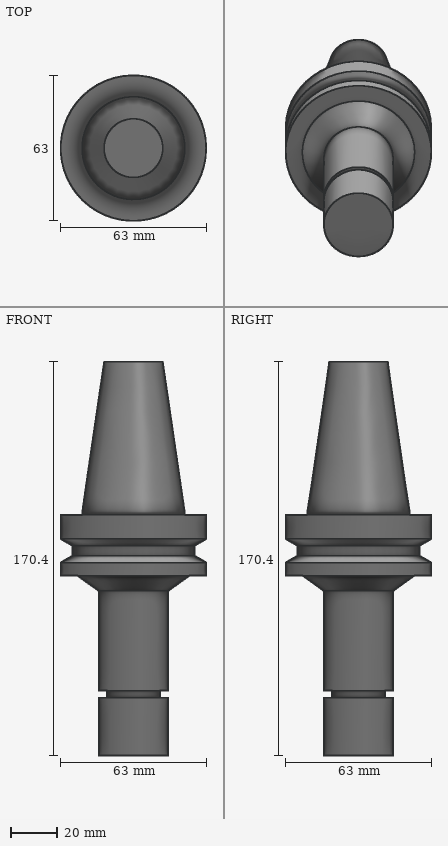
import cadquery as cq

flange_diameter = 63.0
gauge_diameter = 44.5
taper_tip_diameter = 25.4
groove_diameter = 53.0
cone_diameter = 48.5
shank_diameter = 30.0
neck_diameter = 23.0

total_length = 170.4
nut_length = 25.0
neck_length = 3.0
shank_length = 43.1
cone_length = 6.6
lower_rim_length = 5.6
lower_groove_wall = 2.9
groove_floor_length = 4.5
upper_groove_wall = 2.9
upper_rim_length = 10.4
gauge_collar_length = 1.0


shank_bottom = nut_length + neck_length
shank_top = shank_bottom + shank_length
flange_bottom = shank_top + cone_length
flange_top = (
    flange_bottom + lower_rim_length + lower_groove_wall + groove_floor_length
    + upper_groove_wall + upper_rim_length
)
gauge_height = flange_top + gauge_collar_length
taper_length = total_length - gauge_height


def cylinder(diameter, bottom, length):
    """Upright cylinder on the Z axis."""
    return cq.Workplane("XY").workplane(offset=bottom).circle(diameter / 2).extrude(length)


def cone(bottom_diameter, top_diameter, bottom, length):
    """Upright truncated cone on the Z axis."""
    solid = cq.Solid.makeCone(bottom_diameter / 2, top_diameter / 2, length, cq.Vector(0, 0, bottom))
    return cq.Workplane(solid)


def make_flange():
    """Disc with a V-shaped gripper groove around its rim."""
    rim_radius = flange_diameter / 2
    floor_radius = groove_diameter / 2
    groove_bottom = flange_bottom + lower_rim_length
    floor_bottom = groove_bottom + lower_groove_wall
    floor_top = floor_bottom + groove_floor_length
    groove_top = floor_top + upper_groove_wall
    return (
        cq.Workplane("XZ")
        .moveTo(0, flange_bottom)
        .lineTo(rim_radius, flange_bottom)
        .lineTo(rim_radius, groove_bottom)
        .lineTo(floor_radius, floor_bottom)
        .lineTo(floor_radius, floor_top)
        .lineTo(rim_radius, groove_top)
        .lineTo(rim_radius, flange_top)
        .lineTo(0, flange_top)
        .close()
        .revolve(360, (0, 0, 0), (0, 1, 0))
    )


def make_holder():
    """Tool holder: neck, shank, cone, grooved flange, collar and taper."""
    neck = cylinder(neck_diameter, nut_length, neck_length)
    shank = cylinder(shank_diameter, shank_bottom, shank_length)
    flange_cone = cone(shank_diameter, cone_diameter, shank_top, cone_length)
    collar = cylinder(gauge_diameter, flange_top, gauge_collar_length)
    taper = cone(gauge_diameter, taper_tip_diameter, gauge_height, taper_length)
    return neck.union(shank).union(flange_cone).union(make_flange()).union(collar).union(taper)


def make_nut():
    """Plain round nut that meets the lower end of the neck."""
    return cylinder(shank_diameter, 0, nut_length)


holder = make_holder()
nut = make_nut()

result = cq.Compound.makeCompound([holder.solids().val(), nut.val()])